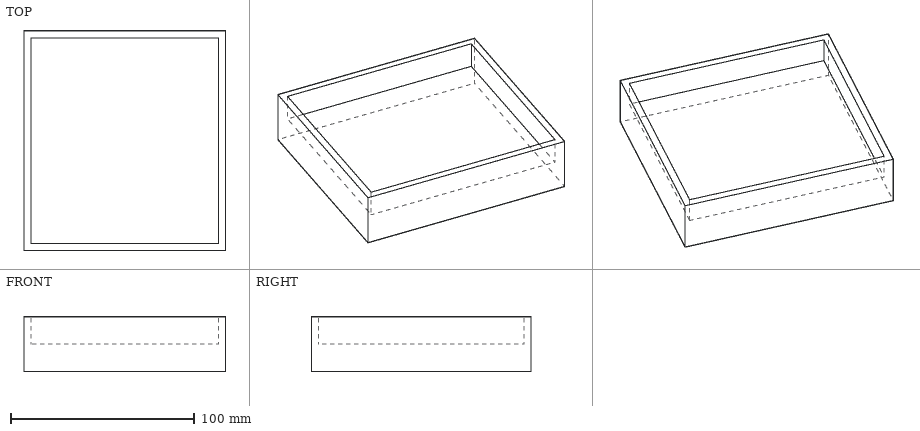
import cadquery as cq

width = 110.0
length = 120.0
height = 30.0

wall = 4.0
pocket_depth = 15.0

block = cq.Workplane("XY").box(width, length, height, centered=(True, True, False))

result = (
    block.faces(">Z")
    .workplane()
    .rect(width - 2 * wall, length - 2 * wall)
    .cutBlind(-pocket_depth)
)